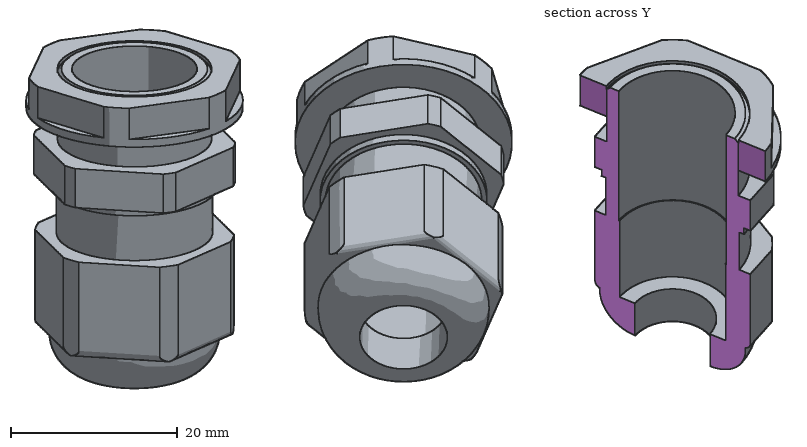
import cadquery as cq
import math


total_height = 38.7
dome_radius = 5.0
dome_neck_height = 0.3
cap_hex_height = 12.4
plain_barrel_height = 6.0
collar_height = 1.0
body_hex_height = 5.0
nut_height = 5.0
nut_flange_height = 1.0

cap_hex_bottom = dome_radius + dome_neck_height
cap_hex_top = cap_hex_bottom + cap_hex_height
collar_bottom = cap_hex_top + plain_barrel_height
collar_top = collar_bottom + collar_height
body_hex_top = collar_top + body_hex_height
nut_bottom = total_height - nut_height

dome_diameter = 20.5
barrel_diameter = 18.75
collar_diameter = 20.0
thread_diameter = 18.5
thread_chamfer = 0.5
cable_hole_diameter = 10.5
cap_bore_diameter = 14.8
body_bore_diameter = 15.0
hex_across_flats = 21.8
cap_corner_diameter = 23.9
cap_edge_radius = 1.0
body_corner_diameter = 24.3
nut_across_flats = 23.9
nut_flange_diameter = 26.0

hex_sides = 6
corner_on_x_axis = 0
flat_on_x_axis = 180 / hex_sides


def cylinder(diameter, bottom, top):
    """Round bar on the Z axis between two heights."""
    return cq.Workplane("XY").workplane(offset=bottom).circle(diameter / 2).extrude(top - bottom)


def hex_prism(across_flats, bottom, top, turn):
    """Hexagonal bar on the Z axis, turned by an angle in degrees."""
    across_corners = across_flats / math.cos(math.pi / hex_sides)
    base = cq.Workplane("XY").workplane(offset=bottom)
    prism = base.polygon(hex_sides, across_corners).extrude(top - bottom)
    return prism.rotate((0, 0, 0), (0, 0, 1), turn)


def make_cap():
    """Domed clamping end: rounded nose under a hexagon with turned corners."""
    nose = cylinder(dome_diameter, 0, cap_hex_top).faces("<Z").edges().fillet(dome_radius)
    hexagon = hex_prism(hex_across_flats, cap_hex_bottom, cap_hex_top, flat_on_x_axis)
    hexagon = hexagon.faces("<Z").edges().fillet(cap_edge_radius)
    hexagon = hexagon.intersect(cylinder(cap_corner_diameter, cap_hex_bottom, cap_hex_top))
    return nose.union(hexagon)


def make_body():
    """Plain barrel, collar, spanner hexagon and thread, as a solid bar."""
    barrel = cylinder(barrel_diameter, cap_hex_top, collar_bottom)
    collar = cylinder(collar_diameter, collar_bottom, collar_top)
    hexagon = hex_prism(hex_across_flats, collar_top, body_hex_top, flat_on_x_axis)
    hexagon = hexagon.intersect(cylinder(body_corner_diameter, collar_top, body_hex_top))
    thread = cylinder(thread_diameter, body_hex_top, total_height)
    thread = thread.faces(">Z").edges().chamfer(thread_chamfer)
    return barrel.union(collar).union(hexagon).union(thread)


def make_gland():
    """Cap and body in one piece, with the stepped cable passage cut through."""
    gland = make_cap().union(make_body())
    gland = gland.cut(cylinder(cable_hole_diameter, 0, total_height))
    gland = gland.cut(cylinder(cap_bore_diameter, cap_hex_bottom, total_height))
    return gland.cut(cylinder(body_bore_diameter, cap_hex_top, total_height))


def make_locknut():
    """Flanged hexagon nut whose corners are turned to the flange diameter."""
    flange = cylinder(nut_flange_diameter, nut_bottom, nut_bottom + nut_flange_height)
    hexagon = hex_prism(nut_across_flats, nut_bottom, total_height, corner_on_x_axis)
    hexagon = hexagon.intersect(cylinder(nut_flange_diameter, nut_bottom, total_height))
    return flange.union(hexagon).cut(cylinder(thread_diameter, nut_bottom, total_height))


gland = make_gland()
locknut = make_locknut()

result = cq.Compound.makeCompound([gland.val(), locknut.val()])